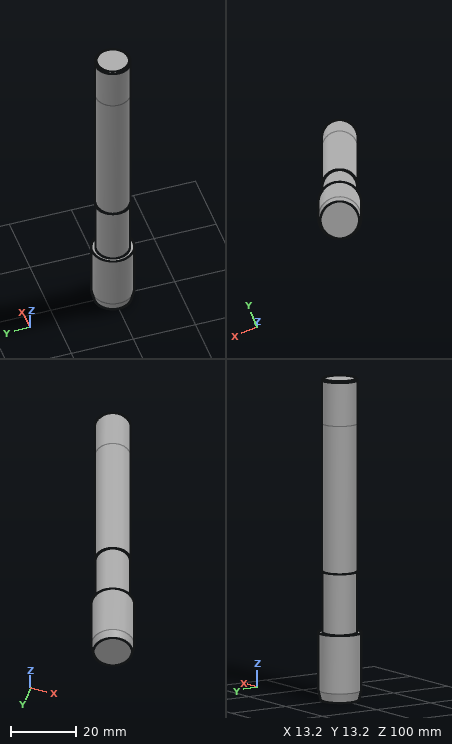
import cadquery as cq

total_length = 100.0
cutting_length = 21.0
lead_length = 3.0
shank_start = 40.0
drive_length = 14.0
drive_start = total_length - drive_length

cutting_diameter = 13.2
tip_diameter = 11.8
neck_diameter = 10.6
shank_diameter = 11.0
end_chamfer = 0.5


def cylinder(diameter, bottom, top):
    """Solid cylinder on the Z axis between two heights."""
    return cq.Workplane("XY").workplane(offset=bottom).circle(diameter / 2).extrude(top - bottom)


def make_cutting_head():
    """Cutting section with a conical lead that narrows toward the tip."""
    profile = [
        (0, 0),
        (tip_diameter / 2, 0),
        (cutting_diameter / 2, lead_length),
        (cutting_diameter / 2, cutting_length),
        (0, cutting_length),
    ]
    return cq.Workplane("XZ").polyline(profile).close().revolve(360, (0, 0), (0, 1))


def make_shank():
    """Neck, shank and chamfered drive end, standing on the cutting head."""
    neck = cylinder(neck_diameter, cutting_length, shank_start)
    shank = cylinder(shank_diameter, shank_start, drive_start)
    drive_end = cylinder(shank_diameter, drive_start, total_length).faces(">Z").chamfer(end_chamfer)
    return neck.union(shank, clean=False).union(drive_end, clean=False)


cutting_head = make_cutting_head()
shank = make_shank()

result = cq.Compound.makeCompound([cutting_head.val(), *shank.solids().vals()])